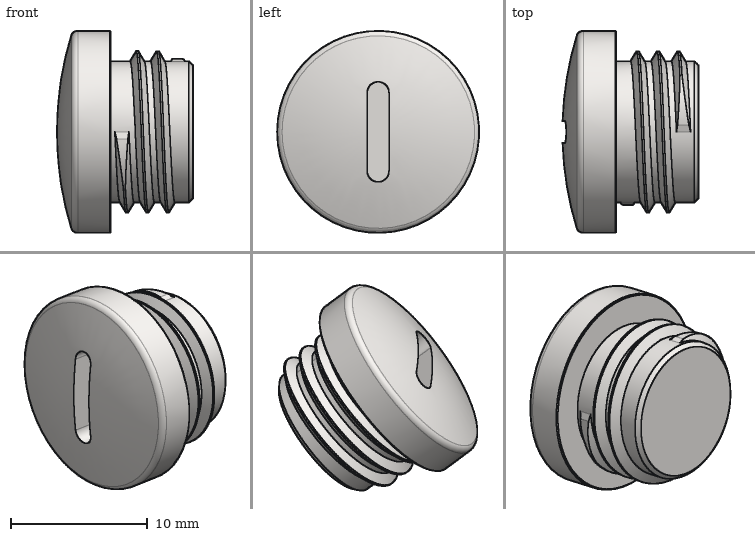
import cadquery as cq
import math

total_length = 9.97

head_radius = 7.4
head_back_x = 3.96
dome_edge_radius = 7.04
dome_edge_x = 1.05
rim_start_x = 1.52
head_back_chamfer = 0.09

slot_width = 1.6
slot_length = 7.32
slot_depth = 2.0

shank_radius = 5.18
tip_chamfer_length = 0.31

crest_radius = 5.92
pitch = 1.5
turns = 2.75
thread_start_x = 4.76
root_width = 1.04
crest_width = 0.15
root_overlap = 0.15

end_ramp_rise = 0.15
end_ramp_length = 0.52
runout_middle = 1.92
runout_middle_height = 5.27
runout_length = 4.14


def make_body():
    """Revolve the domed head and the shank about X."""
    dome_sphere_radius = (dome_edge_radius**2 + dome_edge_x**2) / (2 * dome_edge_x)
    mid_radius = dome_edge_radius / 2
    mid_x = dome_sphere_radius - math.sqrt(dome_sphere_radius**2 - mid_radius**2)
    return (
        cq.Workplane("XY")
        .moveTo(0, 0)
        .threePointArc((mid_x, mid_radius), (dome_edge_x, dome_edge_radius))
        .tangentArcPoint((rim_start_x, head_radius), relative=False)
        .lineTo(head_back_x - head_back_chamfer, head_radius)
        .lineTo(head_back_x, head_radius - head_back_chamfer)
        .lineTo(head_back_x, shank_radius)
        .lineTo(total_length - tip_chamfer_length, shank_radius)
        .lineTo(total_length, shank_radius - tip_chamfer_length)
        .lineTo(total_length, 0)
        .close()
        .revolve(360, (0, 0, 0), (1, 0, 0))
    )


def make_slot():
    """Round-ended slot, long side along Z, cut in from the dome."""
    return cq.Workplane("YZ").slot2D(slot_length, slot_width, 90).extrude(slot_depth)


def make_runout_cutter():
    """Block that trims the thread to a gradual rise where it starts at -Y."""
    outside = crest_radius + root_overlap
    inner_y = -shank_radius + root_overlap
    inner_z = root_overlap * end_ramp_length / end_ramp_rise
    full_crest_y = -math.sqrt(crest_radius**2 - runout_length**2)
    cutter_start_x = thread_start_x - root_width
    cutter_end_x = thread_start_x + pitch - root_width / 2
    return (
        cq.Workplane("YZ", origin=(cutter_start_x, 0, 0))
        .moveTo(inner_y, inner_z)
        .lineTo(-shank_radius - end_ramp_rise, -end_ramp_length)
        .threePointArc((-runout_middle_height, -runout_middle), (full_crest_y, -runout_length))
        .lineTo(-outside, -runout_length)
        .lineTo(-outside, inner_z)
        .close()
        .extrude(cutter_end_x - cutter_start_x)
    )


def make_thread():
    """Right-hand trapezoidal thread with a run-out at both ends."""
    flank_slope = (root_width - crest_width) / (2 * (crest_radius - shank_radius))
    half_base = root_width / 2 + root_overlap * flank_slope
    base_radius = shank_radius - root_overlap
    thread_length = pitch * turns
    helix = cq.Wire.makeHelix(pitch, thread_length, shank_radius)
    thread = (
        cq.Workplane("XZ")
        .polyline([
            (base_radius, -half_base),
            (crest_radius, -crest_width / 2),
            (crest_radius, crest_width / 2),
            (base_radius, half_base),
        ])
        .close()
        .sweep(cq.Workplane(obj=helix), isFrenet=True)
        .rotate((0, 0, 0), (0, 1, 0), 90)
        .rotate((0, 0, 0), (1, 0, 0), -90)
        .translate((thread_start_x, 0, 0))
    )
    middle_x = thread_start_x + thread_length / 2
    start_cutter = make_runout_cutter()
    end_cutter = start_cutter.rotate((middle_x, 0, 0), (middle_x, -0.15, 0.15), 180)
    return thread.cut(start_cutter).cut(end_cutter)


result = make_body().cut(make_slot()).union(make_thread())